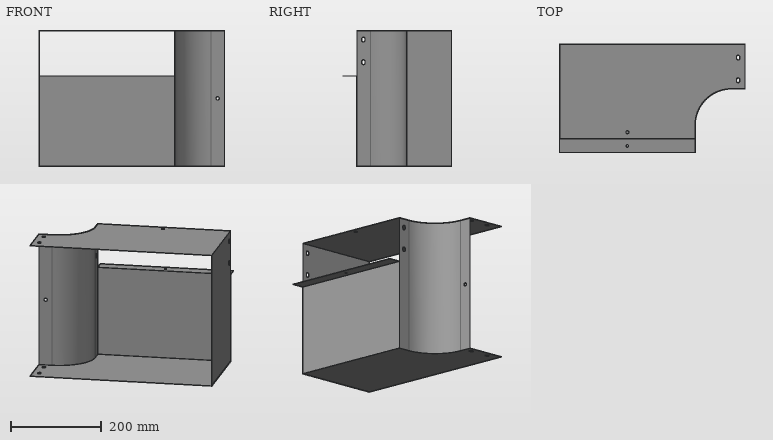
import cadquery as cq

width = 410.0
height = 300.0
body_depth = 210.0
sheet = 1.0

panel_width = 300.0
panel_height = 200.0
flange_depth = 30.0

corner_radius = 80.0
end_depth = 99.2

hole_diameter = 7.0
flange_hole_diameter = 5.0
slot_width = 7.0
slot_length = 10.2
edge_margin = 15.0
top_slot_offsets = (30.0, 80.0)
side_slot_offsets = (20.0, 70.0)

corner_front = body_depth - end_depth
corner_start = corner_front - corner_radius
corner_end = panel_width + corner_radius
corner_center = (corner_end, corner_start)
inner_radius = corner_radius + sheet
hole_x = panel_width / 2


def arc_middle(radius):
    """Point halfway along the concave arc of the given radius."""
    reach = radius * 0.5**0.5
    return (corner_center[0] - reach, corner_center[1] + reach)


def box(x_range, y_range, z_range):
    """Box spanning the given ranges."""
    lengths = [end - start for start, end in (x_range, y_range, z_range)]
    return (
        cq.Workplane("XY")
        .box(*lengths, centered=False)
        .translate((x_range[0], y_range[0], z_range[0]))
    )


def cover_plate(bottom):
    """Horizontal plate fitted between the walls, used as floor and top."""
    right = panel_width - sheet
    end_front = corner_front + sheet
    return (
        cq.Workplane("XY", origin=(0, 0, bottom))
        .moveTo(sheet, sheet)
        .lineTo(right, sheet)
        .lineTo(right, corner_start)
        .threePointArc(arc_middle(inner_radius), (corner_end, end_front))
        .lineTo(width, end_front)
        .lineTo(width, body_depth)
        .lineTo(sheet, body_depth)
        .close()
        .extrude(sheet)
    )


def corner_wall():
    """Full-height wall following the concave corner."""
    return (
        cq.Workplane("XY")
        .moveTo(panel_width, sheet)
        .lineTo(panel_width, corner_start)
        .threePointArc(arc_middle(corner_radius), (corner_end, corner_front))
        .lineTo(width, corner_front)
        .lineTo(width, corner_front + sheet)
        .lineTo(corner_end, corner_front + sheet)
        .threePointArc(arc_middle(inner_radius), (panel_width - sheet, corner_start))
        .lineTo(panel_width - sheet, sheet)
        .close()
        .extrude(height)
    )


def front_panel():
    """Low front panel with a flange bent outward along its upper edge."""
    panel = box((0, panel_width), (0, sheet), (0, panel_height))
    flange = box((0, panel_width), (-flange_depth, sheet), (panel_height - sheet, panel_height))
    return panel.union(flange)


def vertical_hole(diameter, x, y, bottom):
    """Cutter for a round hole through one horizontal sheet."""
    return cq.Workplane("XY", origin=(x, y, bottom)).circle(diameter / 2).extrude(sheet)


def plate_slots():
    """Cutters for the slots near the right end, through top and floor."""
    points = [(width - edge_margin, body_depth - offset) for offset in top_slot_offsets]
    return cq.Workplane("XY").pushPoints(points).slot2D(slot_length, slot_width, 90).extrude(height)


def side_slots():
    """Cutters for the slots through the left wall and the corner wall."""
    points = [(edge_margin, height - offset) for offset in side_slot_offsets]
    return cq.Workplane("YZ").pushPoints(points).slot2D(slot_length, slot_width, 90).extrude(panel_width)


def end_hole():
    """Cutter for the round hole in the flat right end of the corner wall."""
    center = (width - edge_margin, corner_front, height / 2)
    return cq.Workplane("XZ", origin=center).circle(hole_diameter / 2).extrude(-sheet)


left_wall = box((0, sheet), (sheet, body_depth), (0, height))

result = (
    cover_plate(0)
    .union(cover_plate(height - sheet))
    .union(left_wall)
    .union(corner_wall())
    .union(front_panel())
    .cut(plate_slots())
    .cut(side_slots())
    .cut(end_hole())
    .cut(vertical_hole(hole_diameter, hole_x, edge_margin, height - sheet))
    .cut(vertical_hole(flange_hole_diameter, hole_x, -edge_margin, panel_height - sheet))
)